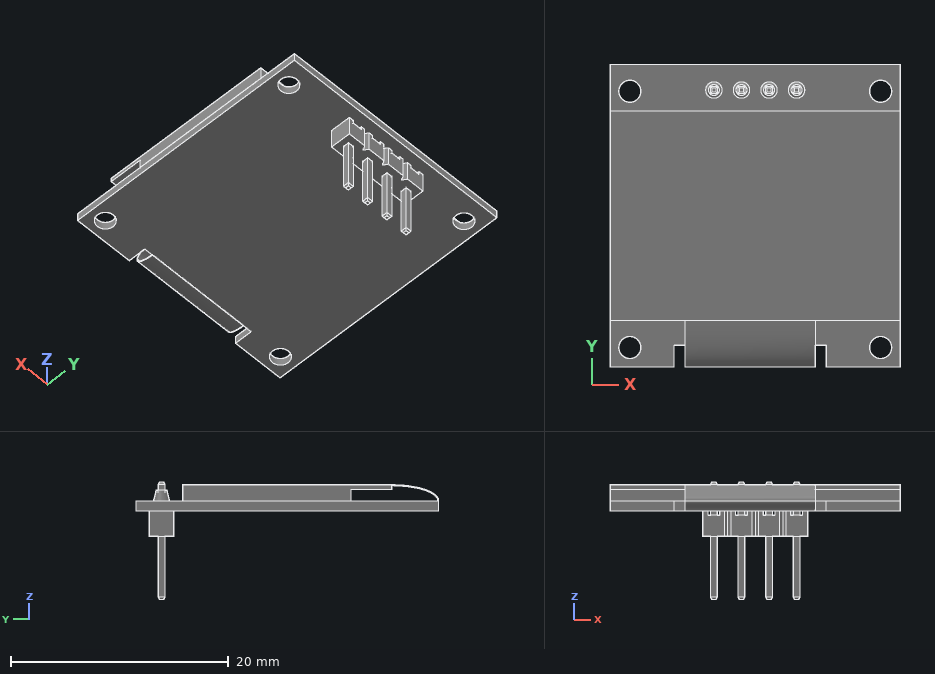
import cadquery as cq


board_width = 26.7
board_depth = 27.85
board_thickness = 0.95
board_front = -board_depth / 2
board_back = board_depth / 2

hole_diameter = 2.0
hole_side_inset = 1.8
hole_front_inset = 1.8
hole_back_inset = 2.48
hole_x = board_width / 2 - hole_side_inset
front_hole_y = board_front + hole_front_inset
back_hole_y = board_back - hole_back_inset

display_thickness = 1.5
display_depth = 19.22
glass_thickness = 0.47
glass_overhang = 3.73
display_front = -display_depth / 2
display_top = board_thickness + display_thickness

flex_width = 12.0
flex_thickness = 0.1
flex_x = -0.47
notch_width = 13.99
notch_depth = 2.0
notch_back = board_front + notch_depth

pin_count = 4
pin_pitch = 2.54
pin_size = 0.65
pin_length = 10.85
pin_rise = 1.75
pin_tip_height = 0.22
pin_tip_inset = 0.15
pin_back_inset = 2.37
pin_y = board_back - pin_back_inset
pin_top = board_thickness + pin_rise
pin_bottom = pin_top - pin_length
pin_positions = [((i - (pin_count - 1) / 2) * pin_pitch, pin_y) for i in range(pin_count)]

solder_base_diameter = 1.5
solder_top_diameter = 1.0
solder_height = 1.0

housing_width = 9.7
housing_height = 2.3
housing_depth = 2.28
groove_width = 0.59
groove_depth = 0.47
relief_width = 1.05
relief_depth = 0.35


def make_pin_bores():
    """Square bores that clear the pins through the board, the solder and the housing."""
    return (
        cq.Workplane("XY", origin=(0, 0, pin_bottom))
        .pushPoints(pin_positions)
        .rect(pin_size, pin_size)
        .extrude(pin_length)
    )


def make_solder_joint(x, y):
    """Solder cone standing on the board top."""
    return cq.Workplane(
        cq.Solid.makeCone(
            solder_base_diameter / 2,
            solder_top_diameter / 2,
            solder_height,
            pnt=cq.Vector(x, y, board_thickness),
        )
    )


def make_board():
    """Board with mounting holes, a ribbon notch and soldered pin holes."""
    hole_positions = [(side * hole_x, y) for side in (-1, 1) for y in (front_hole_y, back_hole_y)]
    board = cq.Workplane("XY").rect(board_width, board_depth).extrude(board_thickness)
    holes = cq.Workplane("XY").pushPoints(hole_positions).circle(hole_diameter / 2).extrude(board_thickness)
    notch = (
        cq.Workplane("XY")
        .center(flex_x, board_front + notch_depth / 2)
        .rect(notch_width, notch_depth)
        .extrude(board_thickness)
    )
    board = board.cut(holes).cut(notch)
    for x, y in pin_positions:
        board = board.union(make_solder_joint(x, y))
    return board.cut(make_pin_bores())


def make_display():
    """Panel resting on the board, stepped at the front so that only the glass overhangs."""
    glass_bottom = display_top - glass_thickness
    panel_front = display_front + glass_overhang
    display_back = display_depth / 2
    return (
        cq.Workplane("YZ", origin=(-board_width / 2, 0, 0))
        .moveTo(display_back, board_thickness)
        .lineTo(display_back, display_top)
        .lineTo(display_front, display_top)
        .lineTo(display_front, glass_bottom)
        .lineTo(panel_front, glass_bottom)
        .lineTo(panel_front, board_thickness)
        .close()
        .extrude(board_width)
    )


def make_flex_bend(start_y, height, direction):
    """Quarter elliptical sleeve to the board front edge, above (1) or below (-1) the board top."""
    reach = start_y - board_front
    sleeve = (
        cq.Workplane("YZ", origin=(flex_x - flex_width / 2, start_y, board_thickness))
        .ellipse(reach, height)
        .ellipse(reach - flex_thickness, height - flex_thickness)
        .extrude(flex_width)
    )
    quarter = cq.Workplane("XY").box(flex_width, reach, height)
    quarter_centre = (flex_x, start_y - reach / 2, board_thickness + direction * height / 2)
    return sleeve.intersect(quarter.translate(quarter_centre))


def make_flex():
    """Ribbon from the glass edge over the board front edge and back into the notch."""
    upper_bend = make_flex_bend(display_front, display_thickness, 1)
    lower_bend = make_flex_bend(notch_back, board_thickness, -1)
    return upper_bend.union(lower_bend)


def make_housing():
    """Header block with V grooves between the pins and a relief slot over each pin."""
    housing = (
        cq.Workplane("XY", origin=(0, pin_y, -housing_height))
        .rect(housing_width, housing_depth)
        .extrude(housing_height)
    )
    for x, y in pin_positions:
        relief = (
            cq.Workplane("XY", origin=(x, y, -relief_depth))
            .rect(relief_width, housing_depth)
            .extrude(relief_depth)
        )
        housing = housing.cut(relief)
    for x, y in pin_positions[:-1]:
        groove_x = x + pin_pitch / 2
        for side in (-1, 1):
            face_y = y + side * housing_depth / 2
            groove = (
                cq.Workplane("XY", origin=(groove_x, face_y, -housing_height))
                .moveTo(-groove_width / 2, 0)
                .lineTo(groove_width / 2, 0)
                .lineTo(0, -side * groove_depth)
                .close()
                .extrude(housing_height)
            )
            housing = housing.cut(groove)
    return housing.cut(make_pin_bores())


def make_pin(x, y):
    """Square pin with tapered tips at both ends."""
    pin = cq.Workplane("XY", origin=(x, y, pin_bottom)).rect(pin_size, pin_size).extrude(pin_length)
    tip_edges = pin.faces("|Z").edges()
    return tip_edges.chamfer(pin_tip_height, pin_tip_inset)


board = make_board()
display = make_display()
flex = make_flex()
housing = make_housing()
pins = [make_pin(x, y) for x, y in pin_positions]

bodies = [board, display, flex, housing, *pins]
result = cq.Compound.makeCompound([body.solids().val() for body in bodies])